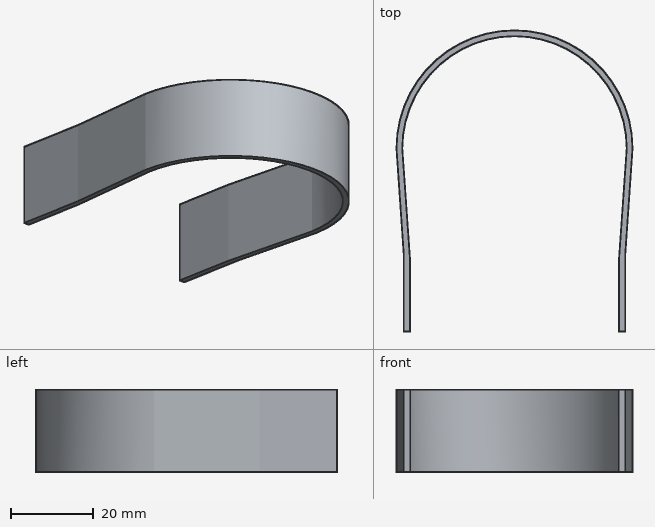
import cadquery as cq

outer_radius = 28.6
thickness = 1.45
strip_height = 20.0
total_length = 73.0
leg_outer_x = 26.85
leg_thickness = 1.6
leg_outer_length = 18.8
leg_inner_length = 17.15

leg_end_y = outer_radius - total_length
outer_bend_y = leg_end_y + leg_outer_length
inner_bend_y = leg_end_y + leg_inner_length
inner_radius = outer_radius - thickness
leg_inner_x = leg_outer_x - leg_thickness

profile = (
    cq.Workplane("XY")
    .moveTo(-leg_outer_x, leg_end_y)
    .lineTo(-leg_outer_x, outer_bend_y)
    .lineTo(-outer_radius, 0)
    .threePointArc((0, outer_radius), (outer_radius, 0))
    .lineTo(leg_outer_x, outer_bend_y)
    .lineTo(leg_outer_x, leg_end_y)
    .lineTo(leg_inner_x, leg_end_y)
    .lineTo(leg_inner_x, inner_bend_y)
    .lineTo(inner_radius, 0)
    .threePointArc((0, inner_radius), (-inner_radius, 0))
    .lineTo(-leg_inner_x, inner_bend_y)
    .lineTo(-leg_inner_x, leg_end_y)
    .close()
)

result = profile.extrude(strip_height)